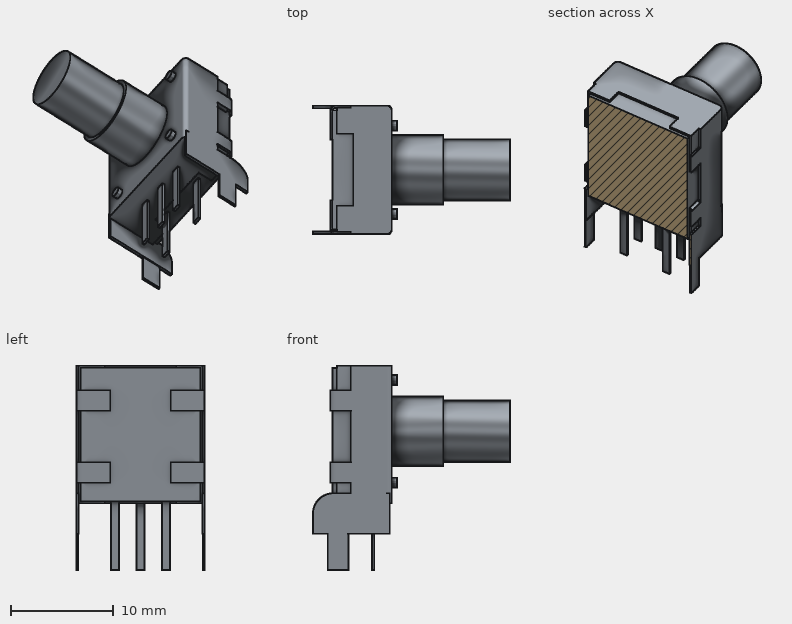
import cadquery as cq


bushing_diameter = 6.8
bushing_length = 5.0
shaft_diameter = 6.0
shaft_end_x = 11.5
peg_diameter = 1.0
peg_length = 0.5
peg_y = 4.3
peg_z = 5.0

sheet = 0.22
cover_width = 12.5
cover_top = 6.39
cover_bottom = -7.0
cover_depth = 4.0
bend_radius = 0.5

housing_width = cover_width - 2 * sheet
housing_rear_x = -5.35
key_notch_width = 7.0
notch_front_x = -3.78

block_inset = 0.22
block_width = 11.62
block_rear_x = -5.8
block_top = cover_top - block_inset
block_bottom = cover_bottom + block_inset

tab_height = 2.0
tab_tops = (4.0, -3.0)
tab_tip_y = 2.95
tab_rear_x = block_rear_x - sheet

bracket_rear_x = -7.7
bracket_front_x = -0.2
bracket_top = -6.0
bracket_bottom = -9.99
bracket_radius = 2.0
bracket_thickness = 0.25
leg_rear_x = -6.25
leg_width = 1.99
leg_thickness = 0.2
leg_tip_z = -13.51

terminal_width = 0.8
terminal_thickness = 0.25
terminal_pitch = 2.49
front_terminal_x = -1.83
rear_terminal_x = front_terminal_x - terminal_pitch


def box(x_range, y_range, z_range):
    """Axis-aligned box given by its limits along each axis."""
    (x0, x1), (y0, y1), (z0, z1) = x_range, y_range, z_range
    return cq.Workplane("XY").box(x1 - x0, y1 - y0, z1 - z0, centered=False).translate((x0, y0, z0))


def centered_box(x_range, width, z_range):
    """Box that is symmetric about the Y = 0 plane."""
    return box(x_range, (-width / 2, width / 2), z_range)


def mirrored_pair(solid):
    """A solid together with its mirror image across the Y = 0 plane."""
    return solid.union(solid.mirror("XZ"))


def make_cover():
    """Face plate and two side walls, as one folded sheet."""
    z_range = (cover_bottom, cover_top)
    outer = centered_box((-cover_depth, 0), cover_width, z_range).edges("|Z and >X").fillet(bend_radius)
    inner = centered_box((-cover_depth, -sheet), housing_width, z_range)
    inner = inner.edges("|Z and >X").fillet(bend_radius - sheet)
    return outer.cut(inner)


def make_housing():
    """Housing that fills the cover, notched at the top, bottom and sides for the rear block."""
    z_range = (cover_bottom, cover_top)
    housing = centered_box((housing_rear_x, -sheet), housing_width, z_range)
    housing = housing.edges("|Z and >X").fillet(bend_radius - sheet)
    notch_x = (housing_rear_x, notch_front_x)
    housing = housing.cut(centered_box(notch_x, key_notch_width, (block_top, cover_top)))
    housing = housing.cut(centered_box(notch_x, key_notch_width, (cover_bottom, block_bottom)))
    side_notch = box(
        notch_x,
        (-housing_width / 2, -block_width / 2),
        (tab_tops[1], tab_tops[0] - tab_height),
    )
    return housing.cut(mirrored_pair(side_notch))


def make_rear_block():
    return centered_box((block_rear_x, notch_front_x), block_width, (block_bottom, block_top))


def make_tabs():
    """Two tabs per side, each folded inwards around the rear corner of the block."""
    tabs = cq.Workplane("XY")
    for top in tab_tops:
        z_range = (top - tab_height, top)
        outer = box((tab_rear_x, -cover_depth), (-cover_width / 2, -tab_tip_y), z_range)
        outer = outer.edges("|Z and <X and <Y").fillet(bend_radius)
        inner = box((block_rear_x, -cover_depth), (-housing_width / 2, -tab_tip_y), z_range)
        inner = inner.edges("|Z and <X and <Y").fillet(bend_radius - sheet)
        tabs = tabs.add(outer.cut(inner))
    return mirrored_pair(tabs.combine())


def make_brackets():
    """Side plates with a rounded rear top corner, each carrying a flat mounting leg."""
    outer_y = -cover_width / 2
    plate = box(
        (bracket_rear_x, bracket_front_x),
        (outer_y, outer_y + bracket_thickness),
        (bracket_bottom, bracket_top),
    )
    plate = plate.edges("|Y and <X and >Z").fillet(bracket_radius)
    leg = box(
        (leg_rear_x, leg_rear_x + leg_width),
        (outer_y, outer_y + leg_thickness),
        (leg_tip_z, bracket_bottom),
    )
    return mirrored_pair(plate.union(leg))


def make_terminal(x, y, top):
    """Flat terminal centered at (x, y), reaching down to the level of the leg tips."""
    x_range = (x - terminal_thickness / 2, x + terminal_thickness / 2)
    return centered_box(x_range, terminal_width, (leg_tip_z, top)).translate((0, y, 0))


def make_terminals():
    """A row of three terminals below the housing and a row of two below the rear block."""
    terminals = make_terminal(front_terminal_x, 0, cover_bottom)
    for y in (-terminal_pitch, terminal_pitch):
        terminals = terminals.union(make_terminal(front_terminal_x, y, cover_bottom))
        terminals = terminals.union(make_terminal(rear_terminal_x, y, block_bottom))
    return terminals


def make_shaft():
    """Bushing, shaft and four locating pegs on the face plate."""
    face = cq.Workplane("YZ")
    bushing = face.circle(bushing_diameter / 2).extrude(bushing_length)
    shaft = face.circle(shaft_diameter / 2).extrude(shaft_end_x)
    pegs = face.rect(2 * peg_y, 2 * peg_z, forConstruction=True).vertices()
    pegs = pegs.circle(peg_diameter / 2).extrude(peg_length)
    return bushing.union(shaft).union(pegs)


result = (
    make_cover()
    .union(make_housing())
    .union(make_rear_block())
    .union(make_tabs())
    .union(make_brackets())
    .union(make_terminals())
    .union(make_shaft())
)